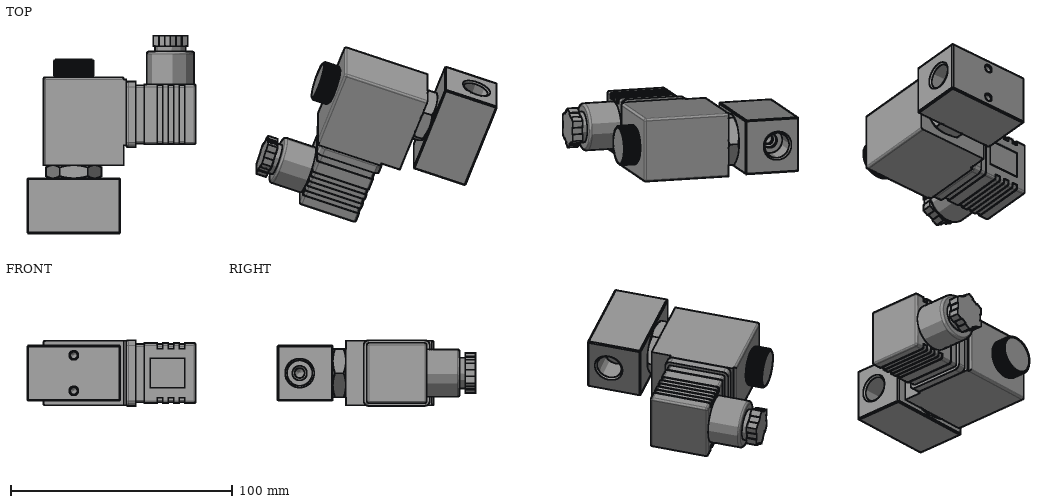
import cadquery as cq
import math


BLOCK_LENGTH = 42.0
BLOCK_SIDE = 25.05
BLOCK_CHAMFER = 0.5
PORT_Y = 10.0
PORT_MOUTH_DIAMETER = 13.15
PORT_DIAMETER = 11.45
PORT_DEPTH = 11.6
PORT_SEAT_DIAMETER = 6.6
PORT_SEAT_DEPTH = 13.4
PORT_PILOT_DIAMETER = 4.5
PORT_PILOT_DEPTH = 16.1
SCREW_MOUTH_DIAMETER = 4.1
SCREW_DIAMETER = 3.2
SCREW_DEPTH = 5.4
SCREW_SPACING = 16.0
DRILL_HALF_ANGLE = 59.0

HEX_FLATS = 21.8
HEX_LENGTH = 5.8
HEX_CHAMFER_ANGLE = 30.0

COIL_FRONT = BLOCK_SIDE + HEX_LENGTH
COIL_BACK = 70.7
COIL_LEFT = -13.8
COIL_RIGHT = 22.6
COIL_HEIGHT = 29.25
COIL_ROUNDING = 1.0
PAD_FRONT = 39.8
PAD_BACK = COIL_BACK - COIL_ROUNDING
PAD_THICKNESS = 1.1

NUT_NECK_DIAMETER = 16.0
NUT_NECK_LENGTH = 0.5
NUT_DIAMETER = 18.0
NUT_LENGTH = 7.1
NUT_CHAMFER = 0.4
NUT_CROWN_DIAMETER = 16.5
NUT_CROWN_LENGTH = 0.45
KNURL_COUNT = 90
KNURL_DEPTH = 0.3

PLUG_Y = 53.85
PLUG_END = 55.1
FLANGE_LEFT = COIL_RIGHT + PAD_THICKNESS
FLANGE_THICKNESS = 4.3
FLANGE_SIDE = 29.8
FLANGE_CORNER_RADIUS = 2.4
FLANGE_ROUNDING = 0.8
HOOD_LEFT = 31.9
HOOD_SIDE = 27.2
HOOD_ROUNDING = 1.1
HOOD_END_ROUNDING = 0.9
GROOVE_DEPTH = 0.4
NECK_SIDE = HOOD_SIDE - 2 * GROOVE_DEPTH
GROOVE_COUNT = 3
GROOVE_WIDTH = 2.5
GROOVE_PITCH = 5.0
FIRST_GROOVE = 38.9
GROOVE_REACH = 2.5
WINDOW_LENGTH = 15.7
WINDOW_HEIGHT = 13.2
WINDOW_X = 42.3
WINDOW_DEPTH = 0.3

OUTLET_X = 43.65
BARREL_DIAMETER = 21.5
BARREL_BACK = 82.3
BARREL_ROUNDING = 1.1
OUTLET_NECK_DIAMETER = 14.0
GLAND_FRONT = 84.7
GLAND_BACK = 89.45
GLAND_CORNERS = 18.2
GLAND_SLOT_DEPTH = 0.5


def box(x_min, x_max, y_min, y_max, height):
    """A box centred on Z = 0."""
    size = (x_max - x_min, y_max - y_min, height)
    middle = ((x_min + x_max) / 2, (y_min + y_max) / 2, 0)
    return cq.Workplane("XY").box(*size).translate(middle)


def square_along_x(x_min, x_max, side):
    """A square block on the plug's axis."""
    return box(x_min, x_max, PLUG_Y - side / 2, PLUG_Y + side / 2, side)


def section_at(y, x=0):
    """A plane facing +Y, with its origin on the given axis."""
    return cq.Workplane(cq.Plane(origin=(x, y, 0), xDir=(1, 0, 0), normal=(0, 1, 0)))


def rod(diameter, y_min, y_max, x=0):
    """A cylinder along Y."""
    return section_at(y_min, x).circle(diameter / 2).extrude(y_max - y_min)


def drill_tip(radius):
    """The depth over which a drill cone narrows by the given radius."""
    return radius / math.tan(math.radians(DRILL_HALF_ANGLE))


def bore(profile):
    """A blind hole along +Y from the origin, from (radius, depth) points, ending in a drill cone."""
    last_radius, last_depth = profile[-1]
    tip = last_depth + drill_tip(last_radius)
    outline = [(0, 0), *profile, (0, tip)]
    return cq.Workplane("XY").polyline(outline).close().revolve(360, (0, 0, 0), (0, 1, 0))



def port():
    """The stepped pipe port of the block's -X side."""
    mouth = PORT_MOUTH_DIAMETER / 2
    wall = PORT_DIAMETER / 2
    seat = PORT_SEAT_DIAMETER / 2
    pilot = PORT_PILOT_DIAMETER / 2
    profile = [
        (mouth, 0),
        (wall, mouth - wall),
        (wall, PORT_DEPTH),
        (seat, PORT_DEPTH),
        (seat, PORT_SEAT_DEPTH),
        (pilot, PORT_SEAT_DEPTH + drill_tip(seat - pilot)),
        (pilot, PORT_PILOT_DEPTH),
    ]
    along_x = bore(profile).rotate((0, 0, 0), (0, 0, 1), -90)
    return along_x.translate((-BLOCK_LENGTH / 2, PORT_Y, 0))


def screw_hole(z):
    mouth = SCREW_MOUTH_DIAMETER / 2
    wall = SCREW_DIAMETER / 2
    profile = [(mouth, 0), (wall, mouth - wall), (wall, SCREW_DEPTH)]
    return bore(profile).translate((0, 0, z))


def hexagon():
    """The hexagon, with flats on +Z and -Z and its corners turned off at both ends."""
    corners = HEX_FLATS / math.cos(math.radians(30))
    prism = section_at(BLOCK_SIDE).polygon(6, corners).extrude(HEX_LENGTH)
    radial = (corners - HEX_FLATS) / 2
    axial = radial * math.tan(math.radians(HEX_CHAMFER_ANGLE))
    turned = rod(corners, BLOCK_SIDE, COIL_FRONT).edges().chamfer(axial, radial)
    return prism.intersect(turned)


def make_valve():
    half = BLOCK_LENGTH / 2
    block = box(-half, half, 0, BLOCK_SIDE, BLOCK_SIDE).edges().chamfer(BLOCK_CHAMFER)
    block = block.cut(port()).cut(port().mirror("YZ"))
    for z in (-SCREW_SPACING / 2, SCREW_SPACING / 2):
        block = block.cut(screw_hole(z))
    return block.union(hexagon())



def knurled_nut():
    front = COIL_BACK + NUT_NECK_LENGTH
    back = front + NUT_LENGTH
    radius = NUT_DIAMETER / 2
    outline = []
    for i in range(2 * KNURL_COUNT):
        reach = radius - KNURL_DEPTH * (i % 2)
        angle = math.pi * i / KNURL_COUNT
        outline.append((reach * math.cos(angle), reach * math.sin(angle)))
    knurls = section_at(front).polyline(outline).close().extrude(NUT_LENGTH)
    turned = rod(NUT_DIAMETER, front, back).edges().chamfer(NUT_CHAMFER)
    crown = rod(NUT_CROWN_DIAMETER, back, back + NUT_CROWN_LENGTH)
    return knurls.intersect(turned).union(crown)


def make_coil():
    housing = box(COIL_LEFT, COIL_RIGHT, COIL_FRONT, COIL_BACK, COIL_HEIGHT)
    housing = housing.edges("|Y and <X").fillet(COIL_ROUNDING)
    housing = housing.faces(">Y").edges().fillet(COIL_ROUNDING)
    pad = box(COIL_RIGHT, FLANGE_LEFT, PAD_FRONT, PAD_BACK, COIL_HEIGHT)
    nut_neck = rod(NUT_NECK_DIAMETER, COIL_BACK, COIL_BACK + NUT_NECK_LENGTH)
    return housing.union(pad).union(nut_neck).union(knurled_nut())



def flange():
    plate = square_along_x(FLANGE_LEFT, FLANGE_LEFT + FLANGE_THICKNESS, FLANGE_SIDE)
    plate = plate.edges("|X").fillet(FLANGE_CORNER_RADIUS)
    return plate.faces("<X").edges().fillet(FLANGE_ROUNDING)


def neck(x_min, x_max):
    """A length of the plug's reduced section."""
    return square_along_x(x_min, x_max, NECK_SIDE).edges("|X").fillet(HOOD_ROUNDING)


def groove(x):
    """The material between the hood and its reduced section, along the +Z and -Z sides."""
    x_min = x - GROOVE_WIDTH / 2
    x_max = x + GROOVE_WIDTH / 2
    middle = box(x_min, x_max, PLUG_Y - HOOD_SIDE, PLUG_Y + HOOD_SIDE, HOOD_SIDE - 2 * GROOVE_REACH)
    return square_along_x(x_min, x_max, HOOD_SIDE).cut(neck(x_min, x_max)).cut(middle)


def hood():
    shell = square_along_x(HOOD_LEFT, PLUG_END, HOOD_SIDE)
    shell = shell.edges("|X").fillet(HOOD_ROUNDING)
    shell = shell.faces(">X").edges().fillet(HOOD_END_ROUNDING)
    for i in range(GROOVE_COUNT):
        shell = shell.cut(groove(FIRST_GROOVE + i * GROOVE_PITCH))
    front = PLUG_Y - HOOD_SIDE / 2
    window_left = WINDOW_X - WINDOW_LENGTH / 2
    window = box(window_left, window_left + WINDOW_LENGTH, front, front + WINDOW_DEPTH, WINDOW_HEIGHT)
    return shell.cut(window)


def gland_nut():
    """A hexagonal nut, with corners on +Z and -Z and a slot along the middle third of each flat."""
    length = GLAND_BACK - GLAND_FRONT
    flat_radius = GLAND_CORNERS / 2 * math.cos(math.radians(30))
    slot_width = GLAND_CORNERS / 2 / 3
    axis = ((OUTLET_X, 0, 0), (OUTLET_X, 1, 0))
    nut = section_at(GLAND_FRONT, OUTLET_X).polygon(6, GLAND_CORNERS).extrude(length)
    nut = nut.rotate(*axis, 30)
    flat_x = OUTLET_X + flat_radius
    slot = box(flat_x - GLAND_SLOT_DEPTH, flat_x + GLAND_SLOT_DEPTH, GLAND_FRONT, GLAND_BACK, slot_width)
    for i in range(6):
        nut = nut.cut(slot.rotate(*axis, 60 * i))
    return nut


def cable_outlet():
    barrel = rod(BARREL_DIAMETER, PLUG_Y, BARREL_BACK, OUTLET_X)
    barrel = barrel.faces(">Y").edges().fillet(BARREL_ROUNDING)
    outlet_neck = rod(OUTLET_NECK_DIAMETER, BARREL_BACK, GLAND_FRONT, OUTLET_X)
    return barrel.union(outlet_neck).union(gland_nut())


def make_plug():
    plug_neck = neck(FLANGE_LEFT + FLANGE_THICKNESS, HOOD_LEFT)
    return flange().union(plug_neck).union(hood()).union(cable_outlet())


valve = make_valve()
coil = make_coil()
plug = make_plug()
result = cq.Compound.makeCompound([valve.val(), coil.val(), plug.val()])